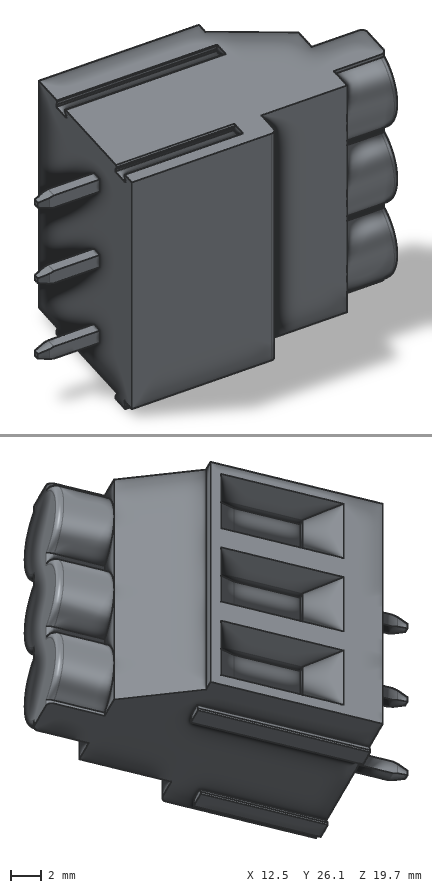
import cadquery as cq


pole_count = 3
rail_height = 0.6
overall_height = 19.65
body_height = overall_height - rail_height
pitch = body_height / pole_count
pole_heights = [(index + 0.5) * pitch for index in range(pole_count)]

overall_length = 26.1
pin_length = 4.62
top_y = overall_length - pin_length
body_depth = 12.5
wire_ledge_y = 12.15
wire_ledge_depth = 0.84
back_ledge_y = 11.0
edge_radius = 0.42

tower_radius = 3.25
tower_x = 7.2
tower_base_y = 17.5
wall_thickness = 2.98
neck_left_x = tower_x - tower_radius
neck_right_x = tower_x + tower_radius

entry_bottom_y = 2.77
entry_top_y = 11.4
entry_height = 4.7
funnel_depth = 1.85
throat_bottom_y = 4.95
throat_height = 3.5
throat_depth = 2.32
floor_top_y = 9.63

pin_x = 7.83
pin_width = 0.78
pin_height = 1.02
tip_width = 0.42
tip_height = 0.4
side_taper_length = 0.78
top_taper_length = 1.12

dovetail_base_left = 2.35
dovetail_base_right = 3.68
dovetail_neck_left = 2.5
dovetail_neck_right = 3.42
dovetail_lip = 0.18
mouth_left = 2.43
mouth_right = 3.6
mouth_depth = 0.1
joint_mirror_x = 6.982
wire_joint_length = wire_ledge_y
back_joint_length = 8.98


def make_housing():
    housing = (
        cq.Workplane("XY")
        .moveTo(0, 0)
        .lineTo(body_depth, 0)
        .lineTo(body_depth, back_ledge_y)
        .lineTo(neck_right_x, back_ledge_y)
        .lineTo(neck_right_x, tower_base_y)
        .lineTo(neck_left_x, tower_base_y)
        .lineTo(wire_ledge_depth, wire_ledge_y)
        .lineTo(0, wire_ledge_y)
        .close()
        .extrude(body_height)
    )
    corner = cq.selectors.NearestToPointSelector((body_depth, back_ledge_y, body_height / 2))
    return housing.edges("|Z").edges(corner).fillet(edge_radius)


def make_towers():
    tower_height = top_y - tower_base_y
    towers = (
        cq.Workplane("XY")
        .box(wall_thickness, tower_height, body_height, centered=(True, False, False))
        .translate((tower_x, tower_base_y, 0))
        .edges("|Z and >Y")
        .fillet(edge_radius)
    )
    for z in pole_heights:
        tower = (
            cq.Workplane("XZ", origin=(tower_x, tower_base_y, z))
            .circle(tower_radius)
            .extrude(-tower_height)
            .faces(">Y")
            .edges()
            .fillet(edge_radius)
        )
        towers = towers.union(tower)
    within_body = cq.Workplane("XY").box(body_depth, top_y, body_height, centered=False)
    return towers.intersect(within_body)


def entry_section(x, bottom_y, height, z):
    """Rectangle across the entry at depth x, sharing the straight upper wall."""
    return (
        cq.Workplane("YZ", origin=(x, (bottom_y + entry_top_y) / 2, z))
        .rect(entry_top_y - bottom_y, height)
    )


def make_wire_entry(z):
    """Funnel that narrows on three sides, then a throat with one sloping wall."""
    mouth = entry_section(0, entry_bottom_y, entry_height, z).wires().val()
    throat = entry_section(funnel_depth, throat_bottom_y, throat_height, z).wires().val()
    funnel = cq.Workplane(cq.Solid.makeLoft([mouth, throat], True))
    pocket = (
        cq.Workplane("XY", origin=(0, 0, z - throat_height / 2))
        .moveTo(funnel_depth, throat_bottom_y)
        .lineTo(throat_depth, throat_bottom_y)
        .lineTo(throat_depth, floor_top_y)
        .lineTo(funnel_depth, entry_top_y)
        .close()
        .extrude(throat_height)
    )
    return funnel.union(pocket)


def tapered_outline(plane, origin, width, tip, taper_length):
    """Bar outline along -Y whose end narrows symmetrically to the tip width."""
    shoulder_y = taper_length - pin_length
    half_points = [(width / 2, 0), (width / 2, shoulder_y), (tip / 2, -pin_length)]
    other_half = [(-across, along) for across, along in reversed(half_points)]
    points = half_points + other_half
    if plane == "YZ":
        points = [(along, across) for across, along in points]
    return cq.Workplane(plane, origin=origin).polyline(points).close()


def make_pin(z):
    origin = (pin_x, 0, z)
    plan = tapered_outline("XY", origin, pin_width, tip_width, side_taper_length)
    side = tapered_outline("YZ", origin, pin_height, tip_height, top_taper_length)
    across_z = plan.extrude(pin_height / 2, both=True)
    across_x = side.extrude(pin_width / 2, both=True)
    return across_z.intersect(across_x)


def make_dovetail(length):
    """Dovetail bar hanging below z = 0, widest at its bottom."""
    return (
        cq.Workplane("XZ")
        .moveTo(dovetail_neck_left, 0)
        .lineTo(dovetail_base_left, dovetail_lip - rail_height)
        .lineTo(dovetail_base_left, -rail_height)
        .lineTo(dovetail_base_right, -rail_height)
        .lineTo(dovetail_base_right, dovetail_lip - rail_height)
        .lineTo(dovetail_neck_right, 0)
        .close()
        .extrude(-length)
    )


def make_groove_mouth(length):
    """Wedge that bevels both upper edges of a dovetail groove."""
    return (
        cq.Workplane("XZ")
        .moveTo(mouth_left, 0)
        .lineTo(dovetail_neck_left, -mouth_depth)
        .lineTo(dovetail_neck_right, -mouth_depth)
        .lineTo(mouth_right, 0)
        .close()
        .extrude(-length)
    )


def mirror_to_back(shape):
    return shape.mirror("YZ", (joint_mirror_x, 0, 0))


result = make_housing().union(make_towers())

for pole_z in pole_heights:
    result = result.cut(make_wire_entry(pole_z)).union(make_pin(pole_z))

wire_rail = make_dovetail(wire_joint_length)
back_rail = mirror_to_back(make_dovetail(back_joint_length))
wire_mouth = make_groove_mouth(wire_joint_length)
back_mouth = mirror_to_back(make_groove_mouth(back_joint_length))

for rail, mouth_bevel in ((wire_rail, wire_mouth), (back_rail, back_mouth)):
    groove = rail.union(mouth_bevel).translate((0, 0, body_height))
    result = result.cut(groove).union(rail)